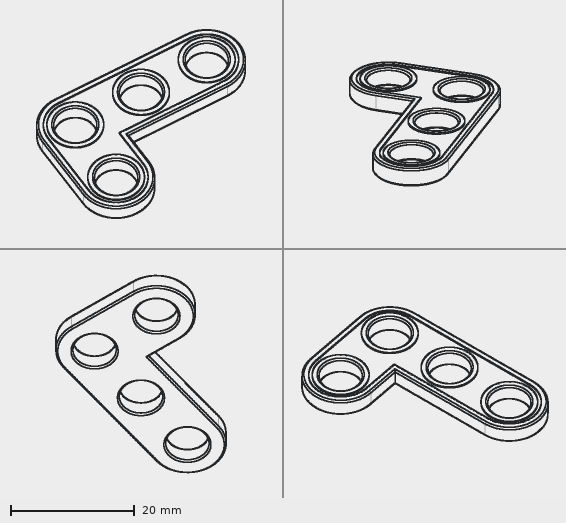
import cadquery as cq

length = 37.5
long_arm_holes = 3
short_arm_holes = 2
pitch = length / long_arm_holes
arm_width = pitch
thickness = pitch / 4
hole_diameter = 7.0
collar_diameter = 9.2
edge_chamfer = 0.3
hole_chamfer = 0.3
rim_width = 1.1
recess_depth = 0.2

hole_centers = [(0, row * pitch) for row in range(long_arm_holes)]
hole_centers += [(column * pitch, 0) for column in range(1, short_arm_holes)]


def rounded_bar(end_x, end_y, width, height):
    """Round-ended bar from the origin to a point on the X or Y axis."""
    span = end_x + end_y
    angle = 90 if end_y else 0
    return (
        cq.Workplane("XY")
        .center(end_x / 2, end_y / 2)
        .slot2D(span + width, width, angle)
        .extrude(height)
    )


def l_shape(width, height):
    """Two round-ended bars joined at the corner hole."""
    long_arm = rounded_bar(0, (long_arm_holes - 1) * pitch, width, height)
    short_arm = rounded_bar((short_arm_holes - 1) * pitch, 0, width, height)
    return long_arm.union(short_arm).clean()


def collars():
    """Discs kept out of the recess so that each hole keeps a full-height ring."""
    return cq.Workplane("XY").pushPoints(hole_centers).circle(collar_diameter / 2).extrude(recess_depth)


def recess():
    """Shallow pocket inside the rim, leaving a collar around each hole."""
    pocket = l_shape(arm_width - 2 * rim_width, recess_depth).cut(collars())
    return pocket.translate((0, 0, thickness - recess_depth))


def chamfered_hole():
    """Cutter for one through hole with both mouths chamfered."""
    radius = hole_diameter / 2
    mouth_radius = radius + hole_chamfer
    profile = [
        (0, 0),
        (mouth_radius, 0),
        (radius, hole_chamfer),
        (radius, thickness - hole_chamfer),
        (mouth_radius, thickness),
        (0, thickness),
    ]
    return cq.Workplane("XZ").polyline(profile).close().revolve(360, (0, 0), (0, 1))


plate = l_shape(arm_width, thickness).faces("<Z or >Z").edges().chamfer(edge_chamfer)
plate = plate.cut(recess())
for x, y in hole_centers:
    plate = plate.cut(chamfered_hole().translate((x, y, 0)))

result = plate